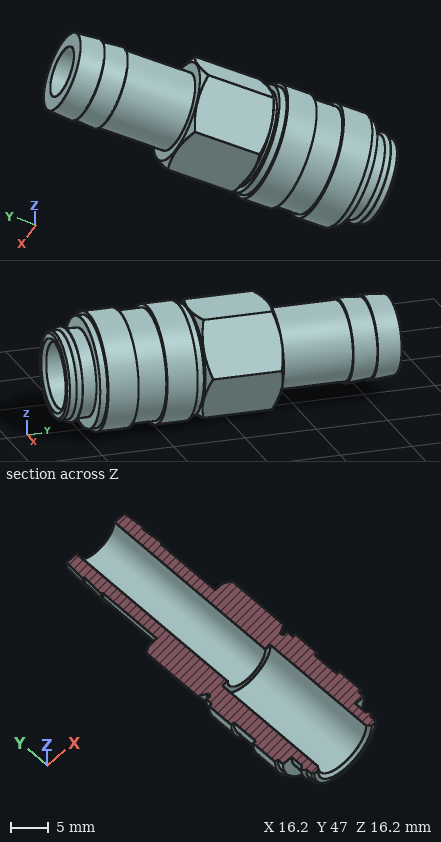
import cadquery as cq
import math

total_length = 47.0
bead_center = 1.65
sleeve_start = 4.0
front_band_start = 5.0
band_width = 4.25
rear_band_start = 13.25
sleeve_end = 18.5
hex_start = 19.0
hex_end = 30.0

band_diameter = 16.2
nose_radius = 6.0
bead_radius = 6.45
sleeve_radius = 7.6
band_radius = band_diameter / 2
neck_radius = 6.8
hose_radius = 5.5
barb_radius = 5.8

nose_chamfer = 0.3
bead_half_width = 0.4
barb_length = 3.45
barb_count = 2
hex_across_flats = 14.0
hex_face_radius = 6.9
hex_chamfer_angle = 30.0

bore_radius = 3.52
socket_radius = 4.5
mouth_radius = 5.05
mouth_depth = 0.5
socket_depth = sleeve_end


def ring(radius, start, end):
    """Solid cylinder along +Y between two stations."""
    return cq.Workplane("XZ", origin=(0, start, 0)).circle(radius).extrude(start - end)


def revolved(profile):
    """Revolve a (radius, station) outline about the Y axis."""
    return cq.Workplane("XY").polyline(profile).close().revolve(360, (0, 0, 0), (0, 1, 0))


def cone(start_radius, end_radius, start, end):
    """Solid frustum along +Y."""
    return revolved([(0, start), (start_radius, start), (end_radius, end), (0, end)])


def make_nose():
    """Chamfered spigot with a rounded retaining bead."""
    nose = ring(nose_radius, 0, sleeve_start).faces("<Y").chamfer(nose_chamfer)
    bead = (
        cq.Workplane("XY")
        .moveTo(0, bead_center - bead_half_width)
        .lineTo(nose_radius, bead_center - bead_half_width)
        .threePointArc((bead_radius, bead_center), (nose_radius, bead_center + bead_half_width))
        .lineTo(0, bead_center + bead_half_width)
        .close()
        .revolve(360, (0, 0, 0), (0, 1, 0))
    )
    return nose.union(bead)


def make_sleeve():
    """Sliding sleeve with two raised grip bands, and the neck behind it."""
    sleeve = ring(sleeve_radius, sleeve_start, sleeve_end)
    for start in (front_band_start, rear_band_start):
        sleeve = sleeve.union(ring(band_radius, start, start + band_width))
    return sleeve.union(ring(neck_radius, sleeve_end, hex_start))


def make_hex():
    """Hexagon with corners on the X axis and conical corner chamfers at both ends."""
    corner_radius = hex_across_flats / 2 / math.cos(math.pi / 6)
    chamfer_length = (corner_radius - hex_face_radius) * math.tan(math.radians(hex_chamfer_angle))
    prism = (
        cq.Workplane("XZ", origin=(0, hex_start, 0))
        .polygon(6, 2 * corner_radius)
        .extrude(hex_start - hex_end)
    )
    envelope = revolved([
        (0, hex_start),
        (hex_face_radius, hex_start),
        (corner_radius, hex_start + chamfer_length),
        (corner_radius, hex_end - chamfer_length),
        (hex_face_radius, hex_end),
        (0, hex_end),
    ])
    return prism.intersect(envelope)


def make_hose_tail():
    """Hose stem with barbs that narrow toward the free end."""
    tail = ring(hose_radius, hex_end, total_length)
    for index in range(barb_count):
        end = total_length - index * barb_length
        tail = tail.union(cone(barb_radius, hose_radius, end - barb_length, end))
    return tail


def make_bore():
    """Through bore, wider socket at the nose and its tapered mouth."""
    bore = ring(bore_radius, 0, total_length)
    socket = ring(socket_radius, 0, socket_depth)
    mouth = cone(mouth_radius, socket_radius, 0, mouth_depth)
    return bore.union(socket).union(mouth)


body = make_nose().union(make_sleeve()).union(make_hex()).union(make_hose_tail())
result = body.cut(make_bore())